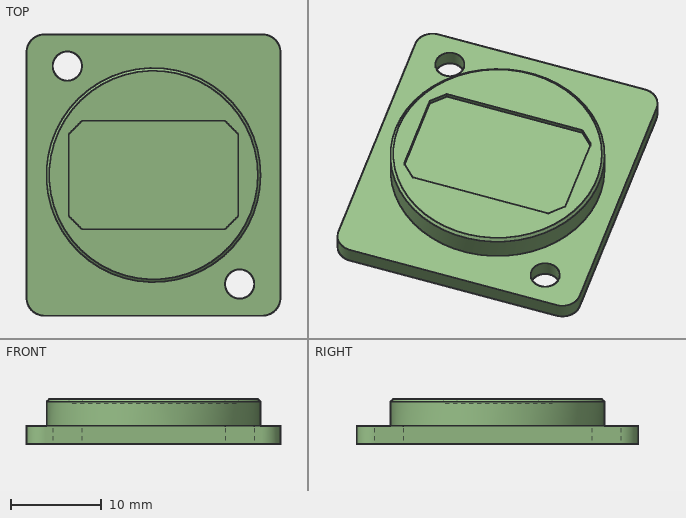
import cadquery as cq

plate_width = 28.0
plate_length = 31.0
plate_thickness = 2.0
plate_corner_radius = 2.0

hole_diameter = 3.2
hole_offset_x = 9.5
hole_offset_y = 12.0

total_height = 5.0
boss_diameter = 23.6
boss_height = total_height - plate_thickness
boss_chamfer = 0.3

recess_width = 18.7
recess_length = 11.97
recess_corner_clip = 1.5
recess_depth = 0.5


def make_plate():
    """Rounded rectangular plate resting on Z = 0, with its two through holes."""
    return (
        cq.Workplane("XY")
        .rect(plate_width, plate_length)
        .extrude(plate_thickness)
        .edges("|Z")
        .fillet(plate_corner_radius)
        .faces(">Z")
        .workplane()
        .pushPoints([(-hole_offset_x, hole_offset_y), (hole_offset_x, -hole_offset_y)])
        .hole(hole_diameter)
    )


def make_boss():
    """Round boss standing on the plate, chamfered around its top edge."""
    return (
        cq.Workplane("XY")
        .workplane(offset=plate_thickness)
        .circle(boss_diameter / 2)
        .extrude(boss_height)
        .faces(">Z")
        .edges()
        .chamfer(boss_chamfer)
    )


def make_recess():
    """Volume removed from the boss top: a rectangle with clipped corners."""
    return (
        cq.Workplane("XY")
        .workplane(offset=total_height - recess_depth)
        .rect(recess_width, recess_length)
        .extrude(recess_depth)
        .edges("|Z")
        .chamfer(recess_corner_clip)
    )


result = make_plate().union(make_boss()).cut(make_recess())